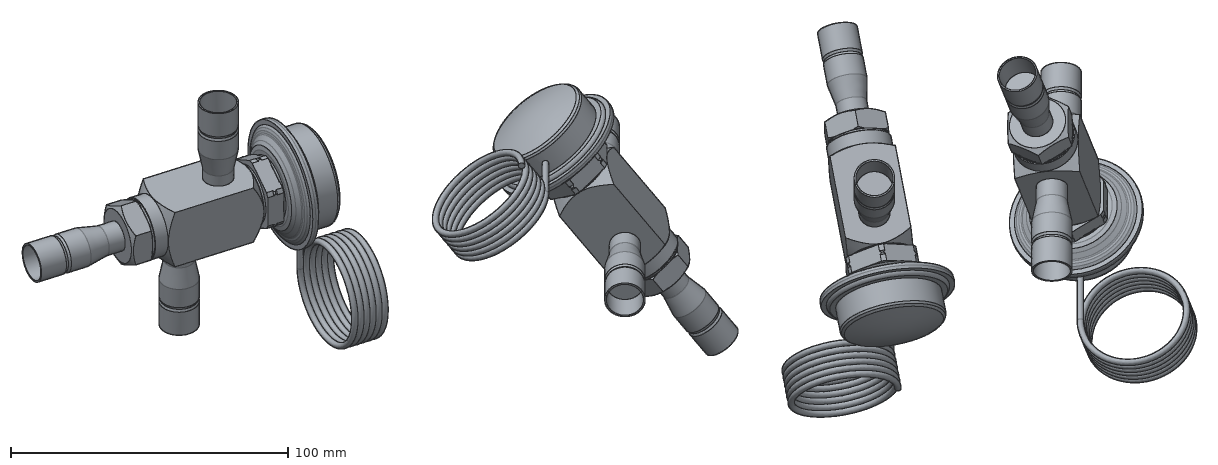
import cadquery as cq
import math


body_width = 24.0
body_length = 39.4
body_end_radius = 11.9
body_corner_radius = 17.0
front_cone_depth = 2.8
rear_cone_depth = 4.5

collar_radius = 11.9
collar_front = -5.2
gap_radius = 11.4
front_nut_back = -6.0
front_nut_front = -14.3
front_nut_flats = 22.2
nut_face_radius = 10.4
nut_chamfer_angle = 30.0
nut_back_chamfer_depth = 0.5
nut_back_chamfer_drop = 1.0

stub_radius = 7.3
stub_root_radius = 5.7
groove_depth = 0.4
groove_start = 10.2
groove_end = 12.2
cone_wide = 20.3
cone_narrow = 28.7
socket_radius = 6.7
socket_depth = groove_start
front_stub_tip = 49.5
top_stub_tip = 45.2
bottom_stub_tip = 47.4
top_stub_y = 27.0
bottom_stub_y = 11.0

rear_neck_radius = 11.4
rear_nut_front = 40.4
rear_nut_back = 47.0
rear_nut_flats = 25.6
rear_nut_corner_radius = 14.3
rear_nut_ridge = 0.32
rear_nut_ridge_half_width = 0.8

head_neck_radius = 12.6
cup_front = 48.0
cup_front_radius = 14.4
cup_slope = [(16.2, 48.4), (17.5, 49.4), (19.3, 50.8)]
rim_front_curl = [(19.8, 51.0), (20.7, 51.3), (21.7, 51.8)]
rim_radius = 22.6
rim_back_radius = 21.6
rim_back = 56.6
rim_back_curl = 1.8
flange_radius = 24.5
flange_front = 52.5
flange_back = 54.9
flange_seam_height = 0.1
dome_radius = 19.5
shoulder_start = 65.5
shoulder_middle = (19.1, 66.4)
shoulder_end = (18.2, 67.2)
dome_apex = 70.1

wire_diameter = 2.4
coil_turns = 6
coil_depth = 14.9
coil_radius = 19.5
coil_axis_z = -39.3
coil_back = 76.8
lead_top = -17.7


def turned(profile):
    """Solid of revolution about the Y axis from a closed (radius, y) wire."""
    return profile.close().revolve(360, (0, 0, 0), (0, 1, 0))


def cylinder(radius, y_start, y_end):
    """Cylinder on the body axis between two Y stations."""
    return cq.Workplane("XZ", origin=(0, y_start, 0)).circle(radius).extrude(y_start - y_end)


def hexagon(across_flats, y_start, y_end):
    """Hexagonal prism on the body axis with corners on +Z and -Z."""
    return (
        cq.Workplane("XZ", origin=(0, y_start, 0))
        .transformed(rotate=(0, 0, 90))
        .polygon(6, across_flats / math.cos(math.pi / 6))
        .extrude(y_start - y_end)
    )


def make_body():
    """Square bar whose corners are turned to a cone at both ends."""
    bar = cq.Workplane("XZ").rect(body_width, body_width).extrude(-body_length)
    envelope = turned(
        cq.Workplane("XY")
        .moveTo(0, 0)
        .lineTo(body_end_radius, 0)
        .lineTo(body_corner_radius, front_cone_depth)
        .lineTo(body_corner_radius, body_length - rear_cone_depth)
        .lineTo(body_end_radius, body_length)
        .lineTo(0, body_length)
    )
    return bar.intersect(envelope)


def make_front_nut():
    """Hexagon nut with a 30 degree front chamfer and a small rear one."""
    corner = front_nut_flats / math.sqrt(3)
    chamfer_depth = (corner - nut_face_radius) * math.tan(math.radians(nut_chamfer_angle))
    envelope = turned(
        cq.Workplane("XY")
        .moveTo(0, front_nut_front)
        .lineTo(nut_face_radius, front_nut_front)
        .lineTo(corner, front_nut_front + chamfer_depth)
        .lineTo(corner, front_nut_back - nut_back_chamfer_depth)
        .lineTo(corner - nut_back_chamfer_drop, front_nut_back)
        .lineTo(0, front_nut_back)
    )
    return hexagon(front_nut_flats, front_nut_back, front_nut_front).intersect(envelope)


def make_rear_nut():
    """Hexagon nut with turned corners and a small ridge around the middle of them."""
    middle = (rear_nut_front + rear_nut_back) / 2
    envelope = turned(
        cq.Workplane("XY")
        .moveTo(0, rear_nut_front)
        .lineTo(rear_nut_corner_radius, rear_nut_front)
        .lineTo(rear_nut_corner_radius, middle - rear_nut_ridge_half_width)
        .lineTo(rear_nut_corner_radius + rear_nut_ridge, middle)
        .lineTo(rear_nut_corner_radius, middle + rear_nut_ridge_half_width)
        .lineTo(rear_nut_corner_radius, rear_nut_back)
        .lineTo(0, rear_nut_back)
    )
    return hexagon(rear_nut_flats, rear_nut_front, rear_nut_back).intersect(envelope)


def make_head():
    """Neck, lower cup, clamped flange and domed cap of the power head."""
    dome_edge_radius, dome_edge_y = shoulder_end
    dome_height = dome_apex - dome_edge_y
    dome_sphere_radius = (dome_edge_radius**2 + dome_height**2) / (2 * dome_height)
    return turned(
        cq.Workplane("XY")
        .moveTo(0, rear_nut_back)
        .lineTo(head_neck_radius, rear_nut_back)
        .lineTo(head_neck_radius, cup_front)
        .lineTo(cup_front_radius, cup_front)
        .polyline(cup_slope + rim_front_curl, includeCurrent=True)
        .lineTo(rim_radius, flange_front)
        .lineTo(flange_radius, flange_front)
        .lineTo(flange_radius + flange_seam_height, (flange_front + flange_back) / 2)
        .lineTo(flange_radius, flange_back)
        .lineTo(rim_radius, flange_back)
        .radiusArc((rim_back_radius, rim_back), -rim_back_curl)
        .lineTo(dome_radius, rim_back)
        .lineTo(dome_radius, shoulder_start)
        .lineTo(*shoulder_middle)
        .lineTo(*shoulder_end)
        .radiusArc((0, dome_apex), -dome_sphere_radius)
    )


def make_stub(tip):
    """Pipe stub along -Y from the body axis to y = -tip, with a rolled groove and a solder socket."""
    groove_middle = (groove_start + groove_end) / 2
    outside = turned(
        cq.Workplane("XY")
        .moveTo(0, -tip)
        .lineTo(stub_radius, -tip)
        .lineTo(stub_radius, groove_start - tip)
        .lineTo(stub_radius - groove_depth, groove_middle - tip)
        .lineTo(stub_radius, groove_end - tip)
        .lineTo(stub_radius, cone_wide - tip)
        .lineTo(stub_root_radius, cone_narrow - tip)
        .lineTo(stub_root_radius, 0)
        .lineTo(0, 0)
    )
    return outside.cut(cylinder(socket_radius, -tip, socket_depth - tip))


def make_coil():
    """Close-wound capillary coil about Y, with a straight lead rising into the head.

    The free end is the rearmost one; the wire winds forward and its last turn
    meets the lead on the -X side, which lies on the plane X = 0.
    """
    wire_radius = wire_diameter / 2
    wire_back = coil_back - wire_radius
    helix = cq.Wire.makeHelix(coil_depth / coil_turns, coil_depth, coil_radius, lefthand=True)
    coil = (
        cq.Workplane("XZ", origin=(coil_radius, 0, 0))
        .circle(wire_radius)
        .sweep(cq.Workplane(helix), isFrenet=True)
        .rotate((0, 0, 0), (0, 0, 1), 180)
        .rotate((0, 0, 0), (1, 0, 0), 90)
        .translate((coil_radius, wire_back, coil_axis_z))
    )
    lead = (
        cq.Workplane("XY", origin=(0, wire_back - coil_depth, coil_axis_z))
        .circle(wire_radius)
        .extrude(lead_top - coil_axis_z)
    )
    return coil.union(lead)


front_stub = make_stub(front_stub_tip)
top_stub = make_stub(top_stub_tip).rotate((0, 0, 0), (1, 0, 0), -90).translate((0, top_stub_y, 0))
bottom_stub = make_stub(bottom_stub_tip).rotate((0, 0, 0), (1, 0, 0), 90).translate((0, bottom_stub_y, 0))

result = (
    make_body()
    .union(cylinder(collar_radius, collar_front, 0))
    .union(cylinder(gap_radius, front_nut_back, collar_front))
    .union(make_front_nut())
    .union(cylinder(rear_neck_radius, body_length, rear_nut_front))
    .union(make_rear_nut())
    .union(make_head())
    .union(front_stub)
    .union(top_stub)
    .union(bottom_stub)
    .union(make_coil())
)